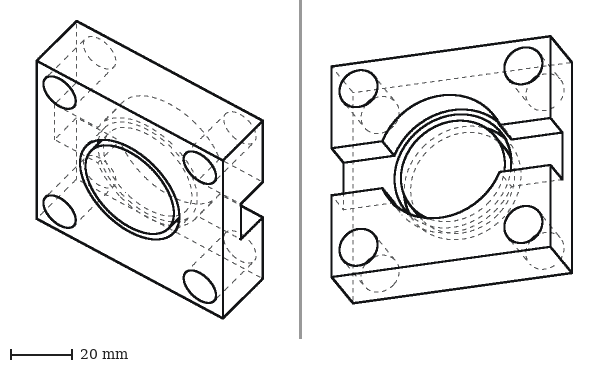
import cadquery as cq

side = 75.0
thickness = 22.0
front_y = -thickness / 2
rear_y = thickness / 2

slot_height = 16.7
web_thickness = 9.8
slot_depth = thickness - web_thickness

bore_diameter = 40.05
counterbore_diameter = 43.5
bolt_hole_diameter = 13.05
bolt_hole_spacing = 56.5

disc_diameter = 35.6


def cylinder_along_y(diameter, start_y, length):
    """Cylinder on the Y axis, running toward +Y from start_y."""
    return cq.Workplane("XZ", origin=(0, start_y, 0)).circle(diameter / 2).extrude(-length)


def rear_slot():
    """Straight slot across the full width of the rear face."""
    slot_center_y = rear_y - slot_depth / 2
    return cq.Workplane("XY").box(side, slot_depth, slot_height).translate((0, slot_center_y, 0))


def stepped_bore():
    """Bore through the web, widened to a counterbore as deep as the slot."""
    bore = cylinder_along_y(bore_diameter, front_y, thickness)
    counterbore = cylinder_along_y(counterbore_diameter, front_y + web_thickness, slot_depth)
    return bore.union(counterbore)


def make_block():
    """Square block with a stepped bore, four bolt holes and the rear slot."""
    block = cq.Workplane("XY").box(side, thickness, side).cut(stepped_bore())
    bolt_hole = cylinder_along_y(bolt_hole_diameter, front_y, thickness)
    for x_sign in (-1, 1):
        for z_sign in (-1, 1):
            offset = (x_sign * bolt_hole_spacing / 2, 0, z_sign * bolt_hole_spacing / 2)
            block = block.cut(bolt_hole.translate(offset))
    return block.cut(rear_slot())


def make_disc():
    """Plain disc lying free in the bore, flush with the front face."""
    return cylinder_along_y(disc_diameter, front_y, web_thickness)


block = make_block()
disc = make_disc()

result = cq.Compound.makeCompound([block.val(), disc.val()])